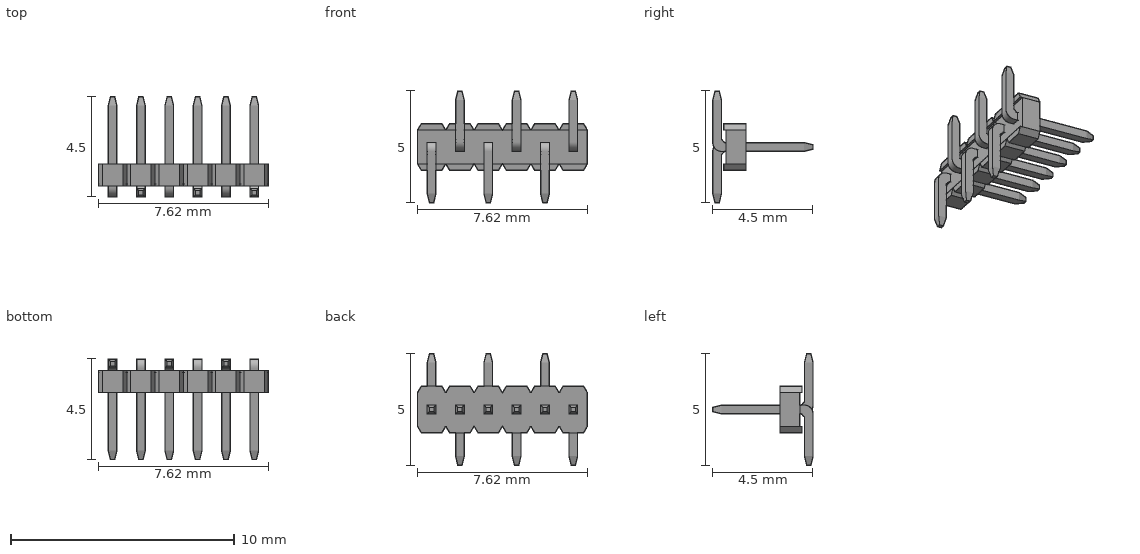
import cadquery as cq
import math


pin_count = 6
row_length = 7.62
overall_depth = 4.5
overall_height = 5.0

housing_depth = 1.0
housing_height = 2.1
notch_depth = 0.3
notch_half_width = 0.175
recess_depth = 0.1

pin_width = 0.4
tip_width = 0.2
taper_length = 0.4
leg_gap = 0.1
bend_chamfer = 0.145

pitch = row_length / pin_count
waist_height = housing_height - 2 * notch_depth
housing_front = 0.0
housing_back = housing_front + housing_depth
leg_back = housing_front - leg_gap
leg_front = leg_back - pin_width
mating_tip = leg_front + overall_depth
leg_tip = -overall_height / 2
pin_centers = [(i - (pin_count - 1) / 2) * pitch for i in range(pin_count)]


def box(x_size, y_start, y_end, z_start, z_end):
    """Box centred on X between the given Y and Z limits."""
    return cq.Workplane("XY").box(
        x_size, y_end - y_start, z_end - z_start, centered=(True, False, False)
    ).translate((0, y_start, z_start))


def housing_segment(x_center):
    """One octagonal pitch-long segment of the housing."""
    half_waist = waist_height / 2
    half_height = housing_height / 2
    half_pitch = pitch / 2
    half_flat = half_pitch - notch_half_width
    outline = [
        (-half_pitch, -half_waist),
        (-half_flat, -half_height),
        (half_flat, -half_height),
        (half_pitch, -half_waist),
        (half_pitch, half_waist),
        (half_flat, half_height),
        (-half_flat, half_height),
        (-half_pitch, half_waist),
    ]
    segment = cq.Workplane("XZ").polyline(outline).close().extrude(-housing_depth)
    return segment.translate((x_center, housing_front, 0))


def make_housing():
    """Row of joined segments with a front recess and a square hole for each pin."""
    body = housing_segment(pin_centers[0])
    for x in pin_centers[1:]:
        body = body.union(housing_segment(x))
    recess = box(
        row_length, housing_front, housing_front + recess_depth, -waist_height / 2, waist_height / 2
    )
    body = body.cut(recess)
    pin_hole = box(pin_width, housing_front, housing_back, -pin_width / 2, pin_width / 2)
    for x in pin_centers:
        body = body.cut(pin_hole.translate((x, 0, 0)))
    return body


def tapered_tip(base_plane):
    """Square frustum growing from the end of a pin."""
    return (
        cq.Workplane(base_plane)
        .rect(pin_width, pin_width)
        .workplane(offset=taper_length)
        .rect(tip_width, tip_width)
        .loft(combine=True)
    )


def make_pin(x_center, leg_up):
    """Bent square pin with tapered ends; its leg points to -Z, or to +Z when leg_up."""
    half_width = pin_width / 2
    mating_taper = mating_tip - taper_length
    leg_taper = leg_tip + taper_length
    leg_center = (leg_front + leg_back) / 2

    outer_offset = pin_width * math.sqrt(0.5)
    outer_middle = (leg_back - outer_offset, -half_width + outer_offset)
    shank = (
        cq.Workplane("YZ")
        .moveTo(mating_taper, half_width)
        .lineTo(leg_back, half_width)
        .threePointArc(outer_middle, (leg_front, -half_width))
        .lineTo(leg_front, leg_taper)
        .lineTo(leg_back, leg_taper)
        .lineTo(leg_back, -half_width - bend_chamfer)
        .lineTo(leg_back + bend_chamfer, -half_width)
        .lineTo(mating_taper, -half_width)
        .close()
        .extrude(half_width, both=True)
    )
    mating_end = cq.Plane(origin=(0, mating_taper, 0), xDir=(1, 0, 0), normal=(0, 1, 0))
    leg_end = cq.Plane(origin=(0, leg_center, leg_taper), xDir=(1, 0, 0), normal=(0, 0, -1))
    pin = shank.union(tapered_tip(mating_end)).union(tapered_tip(leg_end))
    if leg_up:
        pin = pin.mirror("XY")
    return pin.translate((x_center, 0, 0))


housing = make_housing()
pins = [make_pin(x, leg_up=(i % 2 == 1)) for i, x in enumerate(pin_centers)]

result = cq.Compound.makeCompound([housing.val(), *[pin.val() for pin in pins]])